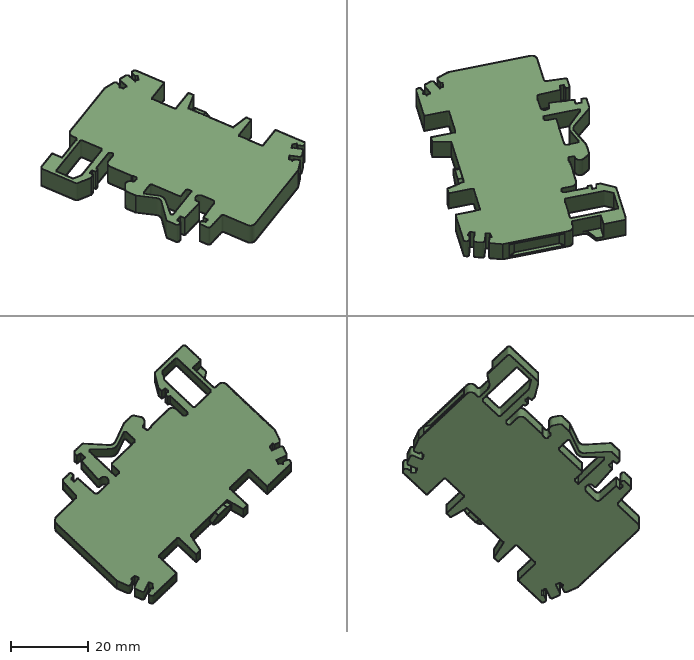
import cadquery as cq
import math


length = 58.0
height = 42.5
thickness = 6.5

body_radius = 1.45
root_radius = 0.6
flank_tip_radius = 0.6
tip_radius = 0.45
small_radius = 0.3

shoulder_y = 33.0
flank_angle = math.radians(20)
lower_slot = (3.65, 4.8)
upper_slot = (7.65, 8.8)
slot_depth = 3.15
barb_start = 1.75
barb_peak = 2.1
barb_height = 0.5
pocket_left_x = 12.35
pocket_right_x = 19.55
pocket_floor_y = height - 6.6
post_tip_x = 21.1
post_foot_x = 22.3
saddle_y = height - 4.75

body_left_y = 14.0
body_y = 9.55
notch_top_y = 6.1
notch_bottom_y = 5.0
notch_lip_y = 4.8

foot_wall_x = 2.95
foot_window_left_x = 4.0
foot_window_right_x = 10.5
foot_window_floor_y = 1.1
foot_toe_x = 10.9
foot_toe_radius = 0.75
foot_right_x = 13.1
foot_toe_y = 3.65
foot_slope = foot_toe_y / (foot_right_x - foot_toe_x)
foot_window_cut = 1.3
foot_notch_x = 11.95
foot_leg_x = 12.5
foot_barb_y = 7.1
foot_barb_rise = 0.25
foot_gap_right_x = 14.0
wedge_thickness = 1.1
wedge_left_y = 8.0
wedge_wall_y = 9.85
wedge_top_y = 11.0
wedge_radius = 1.6

hook_relief_x = 21.75
hook_relief_y = 9.75
hook_neck_x = 23.45
hook_top_y = 8.0
hook_corner_x = 20.65
hook_nose_radius = 1.4
hook_heel_x = 23.15
hook_heel_radius = 1.0
hook_bottom_y = 4.05
hook_toe_x = 26.3

spring_low_peak = (32.35, 6.4)
spring_low_radius = 1.6
spring_high_peak = (32.7, 7.5)
spring_high_radius = 2.4
window_left_x = 27.5
window_step_x = 36.5
window_right_x = 38.0
window_left_floor_y = 5.55
window_right_floor_y = 2.3
window_tip_radius = 0.4
recess_y = 12.7

latch_bottom_y = 0.35
latch_left_x = 37.7
latch_lip_x = 41.1
latch_lip_y = 1.7
latch_notch_x = 39.95
latch_notch_bottom_y = 1.85
latch_notch_top_y = 3.5
latch_face_bottom_x = 41.3
latch_face_top_x = 41.9
recess_radius = 0.85
recess_round_x = 39.9
recess_round_bottom_y = 10.3
recess_round_radius = 1.15

leg_top_left_x = 45.1
leg_mid_left_x = 45.3
leg_notch_x = 46.65
leg_lip_x = 45.5
leg_bottom_y = 3.65
leg_bottom_right_x = 48.6
leg_top_right_x = 49.0

marker_top_y = height - 11.25
marker_bottom_y = height - 26.05
marker_depth = 1.0
marker_top_run = 1.6
marker_bottom_run = 1.15
marker_border = 0.75

insert_center_x = 25.25
insert_top_y = height - 3.5
insert_flat = 3.1
insert_bevel = 1.4
insert_root = 1.15
insert_margin = 0.35


def rounded_profile(corners):
    """Closed profile through (x, y, radius) corners; a zero radius keeps the corner sharp."""
    stretches = []
    for i, (x, y, radius) in enumerate(corners):
        corner = cq.Vector(x, y)
        if radius == 0:
            stretches.append([corner])
            continue
        back = (cq.Vector(*corners[i - 1][:2]) - corner).normalized()
        ahead = (cq.Vector(*corners[(i + 1) % len(corners)][:2]) - corner).normalized()
        half_angle = back.getAngle(ahead) / 2
        tangent_length = radius / math.tan(half_angle)
        sagitta = radius / math.sin(half_angle) - radius
        middle = corner + (back + ahead).normalized() * sagitta
        stretches.append([corner + back * tangent_length, middle, corner + ahead * tangent_length])

    profile = cq.Workplane("XY").moveTo(*stretches[0][-1].toTuple()[:2])
    for stretch in stretches[1:] + stretches[:1]:
        profile = profile.lineTo(*stretch[0].toTuple()[:2])
        if len(stretch) > 1:
            profile = profile.threePointArc(stretch[1].toTuple()[:2], stretch[2].toTuple()[:2])
    return profile.close()


def flank_corner(along, depth, radius=0):
    """Corner placed by its distance up the left flank and its depth into the body."""
    x = along * math.sin(flank_angle) + depth * math.cos(flank_angle)
    y = shoulder_y + along * math.cos(flank_angle) - depth * math.sin(flank_angle)
    return (x, y, radius)


def flank_slot(slot, barb_on_top):
    """Corners of one barbed slot, listed from its lower lip to its upper lip."""
    low, high = slot
    if barb_on_top:
        barb_side, barb_tip = high, high + barb_height
    else:
        barb_side, barb_tip = low, low - barb_height
    barb = [flank_corner(barb_side, barb_start), flank_corner(barb_tip, barb_peak)]
    corners = [flank_corner(low, slot_depth), flank_corner(high, slot_depth)]
    if barb_on_top:
        corners = corners + barb[::-1]
    else:
        corners = barb + corners
    return [flank_corner(low, 0, flank_tip_radius)] + corners + [flank_corner(high, 0, flank_tip_radius)]


def upper_left_corners():
    """Left half of the upper edge, from the shoulder to the saddle."""
    flank_top_x = (height - shoulder_y) * math.tan(flank_angle)
    return [
        (0, shoulder_y, 0),
        *flank_slot(lower_slot, barb_on_top=False),
        *flank_slot(upper_slot, barb_on_top=True),
        (flank_top_x, height, tip_radius),
        (pocket_left_x, height, 0),
        (pocket_left_x, pocket_floor_y, small_radius),
        (pocket_right_x, pocket_floor_y, small_radius),
        (pocket_right_x, height, 0),
        (post_tip_x, height, 0),
        (post_foot_x, saddle_y, 0),
    ]


def mirrored(corners):
    """The same corners reflected about the middle of the length, in reverse order."""
    return [(length - x, y, radius) for x, y, radius in reversed(corners)]


right_leg = [
    (length, body_y, body_radius),
    (leg_top_right_x, body_y, root_radius),
    (leg_bottom_right_x, leg_bottom_y, root_radius),
    (leg_lip_x, leg_bottom_y, tip_radius),
    (leg_lip_x, notch_lip_y, 0),
    (leg_notch_x, notch_bottom_y, 0),
    (leg_notch_x, notch_top_y, 0),
    (leg_mid_left_x, notch_top_y, 0),
    (leg_top_left_x, recess_y, recess_radius),
]

latch_leg = [
    (recess_round_x, recess_y, recess_round_radius),
    (recess_round_x, recess_round_bottom_y, recess_round_radius),
    (latch_face_top_x, recess_round_bottom_y, tip_radius),
    (latch_face_bottom_x, latch_notch_top_y, 0),
    (latch_notch_x, latch_notch_top_y, 0),
    (latch_notch_x, latch_notch_bottom_y, 0),
    (latch_lip_x, latch_lip_y, 0),
    (latch_lip_x, latch_bottom_y, root_radius),
    (latch_left_x, latch_bottom_y, tip_radius),
    (*spring_low_peak, spring_low_radius),
]

centre_hook = [
    (hook_toe_x, hook_bottom_y, 0),
    (hook_heel_x, hook_bottom_y, hook_heel_radius),
    (hook_corner_x, hook_top_y, hook_nose_radius),
    (hook_neck_x, hook_top_y, small_radius),
    (hook_neck_x, hook_relief_y, tip_radius),
    (hook_relief_x + small_radius, hook_relief_y, 0),
    (hook_relief_x, body_y, 0),
]

left_foot = [
    (foot_gap_right_x, body_y, body_radius),
    (foot_gap_right_x, body_left_y, root_radius),
    (foot_leg_x, body_left_y, root_radius),
    (foot_leg_x, foot_barb_y + foot_barb_rise, 0),
    (foot_right_x, foot_barb_y, 0),
    (foot_right_x, notch_top_y, 0),
    (foot_notch_x, notch_top_y, 0),
    (foot_notch_x, notch_bottom_y, 0),
    (foot_right_x, notch_lip_y, 0),
    (foot_right_x, foot_toe_y, 0),
    (foot_toe_x, 0, foot_toe_radius),
    (0, 0, root_radius),
    (0, notch_top_y, 0),
    (foot_wall_x, notch_top_y, 0),
    (foot_wall_x, body_left_y, root_radius),
    (0, body_left_y, body_radius),
]


def housing():
    """Full-thickness plate with its outer outline."""
    upper_left = upper_left_corners()
    outline = upper_left + mirrored(upper_left) + right_leg + latch_leg + centre_hook + left_foot
    return rounded_profile(outline).extrude(thickness)


def foot_window():
    """Opening through the left foot, with one corner cut parallel to the slanted toe."""
    corners = [
        (foot_window_left_x, body_left_y, tip_radius),
        (foot_window_right_x, body_left_y, tip_radius),
        (foot_window_right_x, foot_window_floor_y + foot_window_cut * foot_slope, tip_radius),
        (foot_window_right_x - foot_window_cut, foot_window_floor_y, 0),
        (foot_window_left_x, foot_window_floor_y, small_radius),
    ]
    return rounded_profile(corners).extrude(thickness)


def spring_window():
    """Opening between the body and the spring strip."""
    corners = [
        (window_left_x, body_y, root_radius),
        (window_step_x, body_y, small_radius),
        (window_step_x, recess_y, tip_radius),
        (window_right_x, recess_y, 0),
        (window_right_x, window_right_floor_y, window_tip_radius),
        (*spring_high_peak, spring_high_radius),
        (window_left_x, window_left_floor_y, tip_radius),
    ]
    return rounded_profile(corners).extrude(thickness)


def foot_wedge():
    """Thin wedge above the heel of the left foot, on the lower face side, blended into the foot wall."""
    wall_middle_x = (foot_wall_x + foot_window_left_x) / 2
    corners = [
        (0, notch_top_y, 0),
        (0, wedge_left_y, 0),
        (foot_wall_x, wedge_wall_y, wedge_radius),
        (foot_wall_x, wedge_top_y, 0),
        (wall_middle_x, wedge_top_y, 0),
        (wall_middle_x, notch_top_y, 0),
    ]
    return rounded_profile(corners).extrude(wedge_thickness)


def marker_recess():
    """Shallow recess in the left end, with both of its ends sloped."""
    corners = [
        (0, marker_bottom_y, 0),
        (0, marker_top_y, 0),
        (marker_depth, marker_top_y - marker_top_run, 0),
        (marker_depth, marker_bottom_y + marker_bottom_run, 0),
    ]
    recess = rounded_profile(corners).extrude(thickness - 2 * marker_border)
    return recess.translate((0, 0, marker_border))


def saddle_insert():
    """Bar with a flat top and bottom, 45 degree bevels and rounded sides."""
    top = thickness / 2 - insert_margin
    shoulder = top - insert_bevel
    flat_x = insert_flat / 2
    shoulder_x = flat_x + insert_bevel
    side_radius = shoulder * math.sqrt(2)
    side_x = shoulder_x + side_radius - shoulder
    section = (
        cq.Workplane("XZ", origin=(insert_center_x, insert_top_y, thickness / 2))
        .moveTo(-flat_x, top)
        .lineTo(flat_x, top)
        .lineTo(shoulder_x, shoulder)
        .threePointArc((side_x, 0), (shoulder_x, -shoulder))
        .lineTo(flat_x, -top)
        .lineTo(-flat_x, -top)
        .lineTo(-shoulder_x, -shoulder)
        .threePointArc((-side_x, 0), (-shoulder_x, shoulder))
        .close()
    )
    return section.extrude(insert_top_y - saddle_y + insert_root)


result = (
    housing()
    .cut(foot_window())
    .cut(spring_window())
    .cut(marker_recess())
    .union(foot_wedge())
    .union(saddle_insert())
)